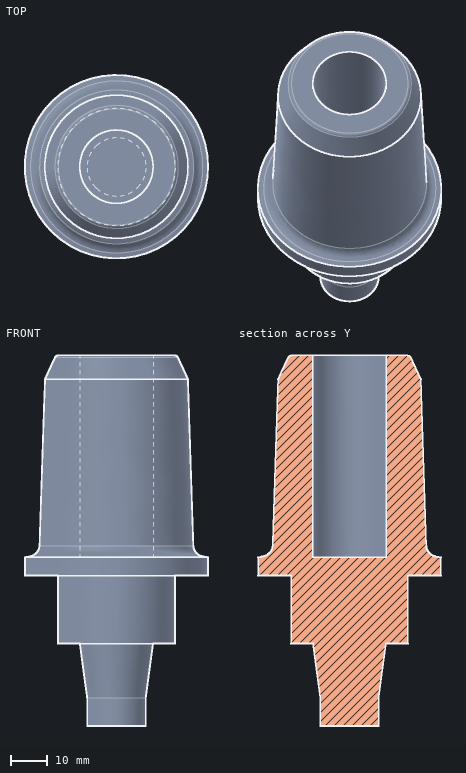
import cadquery as cq
import math

total_height = 101.0
pilot_height = 7.7
cone_top = 22.5
flange_bottom = 41.0
flange_thickness = 5.0
nose_height = 6.5
flange_slope = 10.0

pilot_radius = 16.0 / 2
cone_top_radius = 20.0 / 2
shank_radius = 32.0 / 2
flange_radius = 50.0 / 2
sleeve_base_radius = 42.1 / 2
sleeve_top_radius = 39.0 / 2
nose_top_radius = 33.0 / 2
bore_radius = 20.0 / 2

root_fillet = 3.0
rim_fillet = 1.0

flange_top = flange_bottom + flange_thickness
slope_rise = (flange_radius - sleeve_base_radius) * math.tan(math.radians(flange_slope))
sleeve_base = flange_top + slope_rise
nose_bottom = total_height - nose_height
bore_depth = total_height - flange_top


def turned_body():
    """Revolve the stepped outer outline about the Z axis."""
    outline = [
        (0, 0),
        (pilot_radius, 0),
        (pilot_radius, pilot_height),
        (cone_top_radius, cone_top),
        (shank_radius, cone_top),
        (shank_radius, flange_bottom),
        (flange_radius, flange_bottom),
        (flange_radius, flange_top),
        (sleeve_base_radius, sleeve_base),
        (sleeve_top_radius, nose_bottom),
        (nose_top_radius, total_height),
        (0, total_height),
    ]
    return cq.Workplane("XZ").polyline(outline).close().revolve(360, (0, 0), (0, 1))


def circle_edge_at(radius, height):
    """Select the circular edge of the given radius at the given height."""
    margin = 0.1
    reach = radius + margin
    return cq.selectors.BoxSelector(
        (-reach, -reach, height - margin), (reach, reach, height + margin), boundingbox=True
    )


def blend_edges(body):
    """Round the sleeve root above the flange and the top rim of the nose."""
    body = body.edges(circle_edge_at(sleeve_base_radius, sleeve_base)).fillet(root_fillet)
    return body.faces(">Z").edges().fillet(rim_fillet)


def cut_bore(body):
    """Sink the blind bore from the top face."""
    return body.faces(">Z").workplane().circle(bore_radius).cutBlind(-bore_depth)


result = cut_bore(blend_edges(turned_body()))